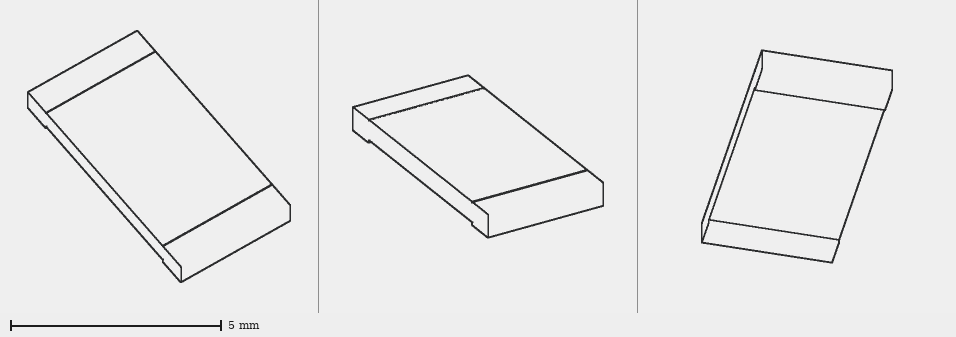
import cadquery as cq


length = 6.35
width = 3.18
height = 0.635
plating = 0.08
terminal_length = 0.762
terminal_round = 0.025

half_length = length / 2
coating_length = length - 2 * terminal_length
substrate_length = length - 2 * plating
substrate_height = height - 2 * plating


def block(size_x, size_z, bottom):
    """Full-width block centred on X and Y, with its lower face at the given height."""
    return (
        cq.Workplane("XY")
        .workplane(offset=bottom)
        .box(size_x, width, size_z, centered=(True, True, False))
    )


def make_substrate():
    """Ceramic core enclosed by the plating at both ends."""
    return block(substrate_length, substrate_height, plating)


def make_coating():
    """Protective layer on the substrate, level with the tops of the terminals."""
    return block(coating_length, plating, height - plating)


def make_terminal(side):
    """C-shaped end cap with its four outermost edges along Y rounded; side is -1 or +1 along X."""
    center_x = side * (half_length - terminal_length / 2)
    cap = block(terminal_length, height, 0).edges("|Y").fillet(terminal_round)
    return cap.translate((center_x, 0, 0)).cut(make_substrate())


result = make_substrate().union(make_coating(), clean=False)
for end in (-1, 1):
    result = result.union(make_terminal(end), clean=False)